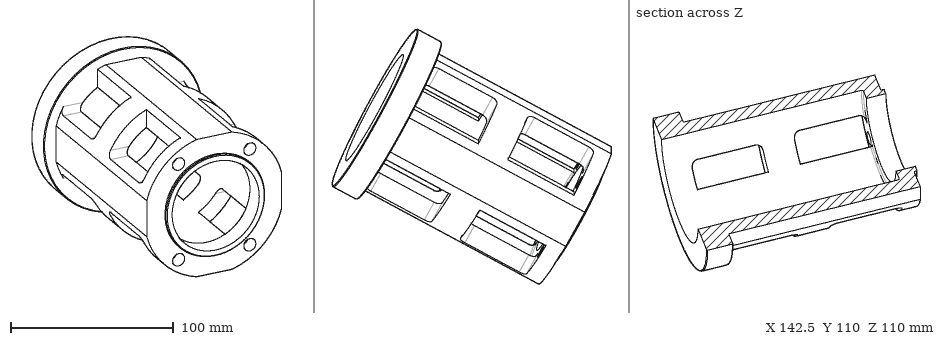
import cadquery as cq

total_length = 142.5
flange_length = 17.1
body_end = 140.5
front_window = (flange_length, 62.8)
rear_window = (83.5, 129.8)

flange_diameter = 110.0
body_diameter = 96.0
across_flats = 92.9
bore_diameter = 74.0
lip_diameter = 60.0
spigot_diameter = 68.0
rim_chamfer = 0.5
bore_end_fillet = 1.0

window_side = 18.0
front_window_floor = 20.1
rear_window_floor = 18.0
window_corner_radius = 4.1

hole_diameter = 8.3
hole_side = 24.5
hole_height = 32.3


def cylinder(diameter, start, end):
    """Cylinder along X between two stations."""
    return cq.Workplane("YZ", origin=(start, 0, 0)).circle(diameter / 2).extrude(end - start)


def make_body():
    """Round body with four flats running its full length."""
    barrel = cylinder(body_diameter, flange_length, body_end)
    square = cq.Workplane("YZ").rect(across_flats, across_flats).extrude(body_end)
    return barrel.intersect(square)


def window_cutter(span, floor):
    """Corner block in +Y +Z, with its two floor corners rounded."""
    start, end = span
    reach = flange_diameter / 2
    block = cq.Workplane("XY").box(end - start, reach, reach, centered=False)
    block = block.edges("|Y and <Z").fillet(window_corner_radius)
    return block.translate((start, window_side, floor))


def cut_windows(part, span, floor):
    """Cut the same window in all four corners."""
    left_cutter = window_cutter(span, floor)
    right_cutter = left_cutter.mirror("XZ")
    for cutter in (left_cutter, right_cutter):
        part = part.cut(cutter).cut(cutter.mirror("XY"))
    return part


def cut_end_holes(part):
    """Drill the end wall from the rear windows out to the end face."""
    for y in (-hole_side, hole_side):
        for z in (-hole_height, hole_height):
            hole = cylinder(hole_diameter, rear_window[1], body_end).translate((0, y, z))
            part = part.cut(hole)
    return part


flange = cylinder(flange_diameter, 0, flange_length).faces("<X or >X").chamfer(rim_chamfer)
spigot = cylinder(spigot_diameter, body_end, total_length).faces(">X").chamfer(rim_chamfer)
result = make_body().union(flange).union(spigot)

main_bore = cylinder(bore_diameter, 0, rear_window[1]).faces(">X").edges().fillet(bore_end_fillet)
result = result.cut(main_bore)
result = result.cut(cylinder(lip_diameter, 0, total_length))
result = cut_windows(result, front_window, front_window_floor)
result = cut_windows(result, rear_window, rear_window_floor)
result = cut_end_holes(result)